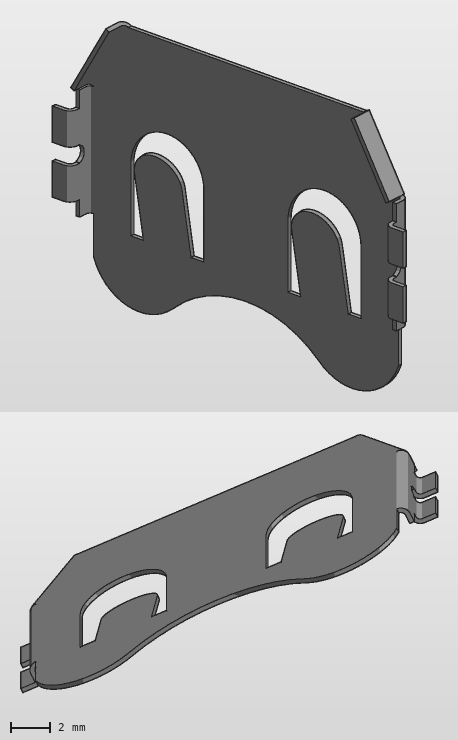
import cadquery as cq
import math

length = 23.15
thickness = 0.25
bend_inner = 0.25
bend_outer = bend_inner + thickness

half_width = 10.07
plate_top = 15.71
shoulder_z = 11.7
shoulder_angle = 60.0
lobe_x = 7.0
lobe_radius = 3.22
arch_top = 2.73

wall_bottom = 4.58
wall_depth = 1.02
total_depth = 1.7
tab_length = 2.04
tab_gap = 1.05
tab_middle_z = 8.12

wing_depth = 1.5

window_x = 5.18
window_width = 4.81
window_bottom = 4.1
window_top = 10.53
tongue_width = 3.15
tongue_length = 5.67
tongue_angle = 10.0

shoulder_rise = plate_top - shoulder_z
shoulder_length = shoulder_rise / math.sin(math.radians(shoulder_angle))
top_half_width = half_width - shoulder_rise / math.tan(math.radians(shoulder_angle))

arc_mid = math.sqrt(0.5)


def mirrored(half):
    """Join a feature on the -X side with its mirror image on the +X side."""
    return half.union(half.mirror("YZ"))


def make_plate():
    """Flat plate with sloped shoulders, two round lobes and an arch tangent to both lobes."""
    drop = lobe_radius - arch_top
    arch_radius = (lobe_x**2 + drop**2 - lobe_radius**2) / (2 * (lobe_radius - drop))
    arch_center_z = arch_top - arch_radius
    share = lobe_radius / (lobe_radius + arch_radius)
    tangent_x = lobe_x * (1 - share)
    tangent_z = lobe_radius + share * (arch_center_z - lobe_radius)
    lobe_start_z = lobe_radius - math.sqrt(lobe_radius**2 - (half_width - lobe_x) ** 2)
    return (
        cq.Workplane("XZ")
        .moveTo(-half_width, shoulder_z)
        .lineTo(-half_width, lobe_start_z)
        .threePointArc((-lobe_x, 0), (-tangent_x, tangent_z))
        .threePointArc((0, arch_top), (tangent_x, tangent_z))
        .threePointArc((lobe_x, 0), (half_width, lobe_start_z))
        .lineTo(half_width, shoulder_z)
        .lineTo(top_half_width, plate_top)
        .lineTo(-top_half_width, plate_top)
        .close()
        .extrude(thickness)
    )


def arched_blank(width, height):
    """Upright sheet blank with a full-round top, standing on the origin."""
    radius = width / 2
    return (
        cq.Workplane("XZ")
        .moveTo(-radius, 0)
        .lineTo(radius, 0)
        .lineTo(radius, height - radius)
        .threePointArc((0, height), (-radius, height - radius))
        .close()
        .extrude(thickness)
    )


def make_tongue():
    """Spring tongue leaning toward -Y about the back edge of the window bottom."""
    tongue = arched_blank(tongue_width, tongue_length).rotate((0, 0, 0), (1, 0, 0), tongue_angle)
    return tongue.translate((-window_x, 0, window_bottom))


def make_window():
    """Round-topped opening that surrounds a tongue."""
    blank = arched_blank(window_width, window_top - window_bottom)
    return blank.translate((-window_x, 0, window_bottom))


def fold(depth, height):
    """Right-angle fold starting at the origin, turning from -X to -Y and rising along +Z."""
    return (
        cq.Workplane("XY")
        .lineTo(0, -thickness)
        .threePointArc(
            (-bend_inner * arc_mid, -bend_outer + bend_inner * arc_mid),
            (-bend_inner, -bend_outer),
        )
        .lineTo(-bend_inner, -depth)
        .lineTo(-bend_outer, -depth)
        .lineTo(-bend_outer, -bend_outer)
        .threePointArc((-bend_outer * arc_mid, -bend_outer + bend_outer * arc_mid), (0, 0))
        .close()
        .extrude(height)
    )


def make_wing():
    """Folded flange along the sloped shoulder."""
    tilt = 90 - shoulder_angle
    wing = fold(wing_depth, shoulder_length).rotate((0, 0, 0), (0, 1, 0), tilt)
    return wing.translate((-half_width, 0, shoulder_z))


def make_tab():
    """Foot that continues the side wall and turns outward, parallel to the plate."""
    wall_inner_x = -half_width - bend_inner
    wall_outer_x = wall_inner_x - thickness
    bend_x = wall_inner_x - bend_outer
    bend_y = -total_depth + bend_outer
    return (
        cq.Workplane("XY")
        .moveTo(wall_inner_x, -bend_outer)
        .lineTo(wall_inner_x, bend_y)
        .threePointArc(
            (bend_x + bend_outer * arc_mid, bend_y - bend_outer * arc_mid),
            (bend_x, -total_depth),
        )
        .lineTo(-length / 2, -total_depth)
        .lineTo(-length / 2, -total_depth + thickness)
        .lineTo(bend_x, -total_depth + thickness)
        .threePointArc(
            (bend_x + bend_inner * arc_mid, bend_y - bend_inner * arc_mid),
            (wall_outer_x, bend_y),
        )
        .lineTo(wall_outer_x, -bend_outer)
        .close()
        .extrude(tab_length)
    )


def make_side():
    """Side wall with two tabs and a round-bottomed notch between them."""
    side = fold(wall_depth, shoulder_z - wall_bottom).translate((-half_width, 0, wall_bottom))
    for tab_bottom in (tab_middle_z + tab_gap / 2, tab_middle_z - tab_gap / 2 - tab_length):
        side = side.union(make_tab().translate((0, 0, tab_bottom)))
    notch = (
        cq.Workplane("YZ")
        .center(-total_depth + bend_outer, tab_middle_z)
        .circle(tab_gap / 2)
        .extrude(-length / 2)
    )
    return side.cut(notch)


result = (
    make_plate()
    .cut(mirrored(make_window()))
    .union(mirrored(make_tongue()))
    .union(mirrored(make_side()))
    .union(mirrored(make_wing()))
)